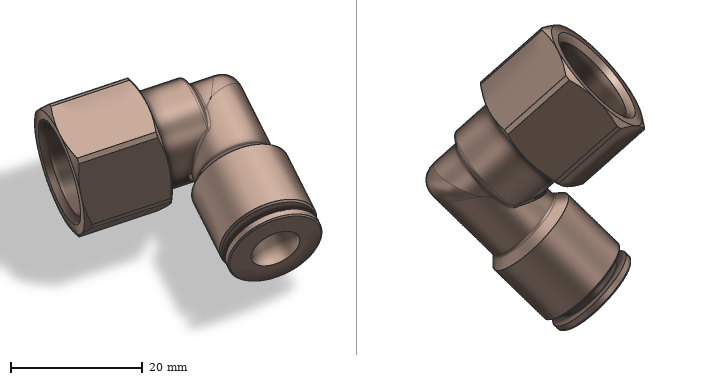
import cadquery as cq
import math


BODY_RADIUS = 6.5
ELBOW_BLEND_SLOPE = 0.5
PASSAGE_RADIUS = 4.0

BLEND_RADIUS = 0.5
INSIDE_CORNER_RADIUS = 0.45

COLLAR_RADIUS = 7.85
COLLAR_TOP_Y = -1.3
COLLAR_CONE_Y = -1.7
COLLAR_SIDE_Y = -2.5
COLLAR_FOOT_HEIGHT = 0.35
COLLAR_FOOT_RADIUS = 7.7

HEX_FLATS = 20
HEX_CORNER_RADIUS = 11.3
HEX_LENGTH = 14.5
HEX_FRONT_Y = -25.0
HEX_BACK_Y = HEX_FRONT_Y + HEX_LENGTH
HEX_CHAMFER_ANGLE = 30

THREAD_RADIUS = 7.5
THREAD_DEPTH = 13.35
MOUTH_CHAMFER = 1.0
DRILL_POINT_ANGLE = 118

SLEEVE_RADIUS = 8.0
SLEEVE_START_X = 9.65
SLEEVE_CONE_X = 10.05
SLEEVE_SIDE_X = 11.6
SLEEVE_END_X = 23.1
SLEEVE_END_CHAMFER = 0.3
RING_NECK_RADIUS = 5.75
RING_RADIUS = 7.75
RING_START_X = 24.53
RING_END_X = 37.05 - HEX_CORNER_RADIUS
RING_CHAMFER = 0.22


def turned_about_x(points):
    """Revolve an (x, radius) profile about the tube axis."""
    return cq.Workplane("XY").polyline(points).close().revolve(360, (0, 0, 0), (1, 0, 0))


def turned_about_y(points):
    """Revolve a (radius, y) profile about the thread axis."""
    return cq.Workplane("XY").polyline(points).close().revolve(360, (0, 0, 0), (0, 1, 0))


def make_elbow():
    """Two equal cylinders along +X and -Y, joined by an ellipsoid tangent to both.

    The ellipsoid meets each cylinder on a plane through the Z axis.
    """
    radius = BODY_RADIUS
    x_end = SLEEVE_SIDE_X
    y_end = HEX_BACK_Y
    reach = x_end - y_end
    slope = ELBOW_BLEND_SLOPE

    def wedge(points):
        return cq.Workplane("XY").polyline([(0, 0)] + points).close().extrude(radius * 2, both=True)

    tube_wedge = wedge([(-slope * reach, reach), (reach, reach), (reach, -reach)])
    thread_wedge = wedge([(reach, -reach), (-reach, -reach), (-reach, slope * reach)])
    corner_wedge = wedge([(-reach, slope * reach), (-reach, reach), (-slope * reach, reach)])

    tube_leg = cq.Workplane("YZ", origin=(-radius, 0, 0)).circle(radius).extrude(x_end + radius)
    thread_leg = cq.Workplane("XZ", origin=(0, radius, 0)).circle(radius).extrude(radius - y_end)

    stretch = cq.Matrix([
        [math.sqrt(1 + slope), 0, 0, 0],
        [0, math.sqrt(1 - slope), 0, 0],
        [0, 0, 1, 0],
    ])
    ellipsoid = cq.Solid.makeSphere(radius, angleDegrees1=-90)
    ellipsoid = ellipsoid.rotate((0, 0, 0), (0, 1, 0), 90).transformGeometry(stretch)
    corner = cq.Workplane(ellipsoid).rotate((0, 0, 0), (0, 0, 1), 135)

    elbow = tube_leg.intersect(tube_wedge).union(thread_leg.intersect(thread_wedge))
    return elbow.union(corner.intersect(corner_wedge))


def make_collar():
    collar = turned_about_y([
        (0, COLLAR_TOP_Y),
        (BODY_RADIUS, COLLAR_TOP_Y),
        (BODY_RADIUS, COLLAR_CONE_Y),
        (COLLAR_RADIUS, COLLAR_SIDE_Y),
        (COLLAR_RADIUS, HEX_BACK_Y + COLLAR_FOOT_HEIGHT),
        (COLLAR_FOOT_RADIUS, HEX_BACK_Y),
        (0, HEX_BACK_Y),
    ])
    cone_ends = cq.selectors.BoxSelector(
        (-HEX_FLATS, COLLAR_SIDE_Y - BLEND_RADIUS, -HEX_FLATS),
        (HEX_FLATS, COLLAR_CONE_Y + BLEND_RADIUS / 4, HEX_FLATS),
    )
    return collar.edges("%CIRCLE").edges(cone_ends).fillet(BLEND_RADIUS)


def make_hexagon():
    """Hexagon with flats facing +Z and -Z, turned corners and conical end chamfers."""
    face_radius = HEX_FLATS / 2
    chamfer_length = (HEX_CORNER_RADIUS - face_radius) * math.tan(math.radians(HEX_CHAMFER_ANGLE))
    prism = (
        cq.Workplane("XZ")
        .workplane(offset=-HEX_BACK_Y)
        .polygon(6, HEX_FLATS, circumscribed=True)
        .extrude(HEX_LENGTH)
        .rotate((0, 0, 0), (0, 1, 0), 30)
    )
    envelope = turned_about_y([
        (0, HEX_FRONT_Y),
        (face_radius, HEX_FRONT_Y),
        (HEX_CORNER_RADIUS, HEX_FRONT_Y + chamfer_length),
        (HEX_CORNER_RADIUS, HEX_BACK_Y - chamfer_length),
        (face_radius, HEX_BACK_Y),
        (0, HEX_BACK_Y),
    ])
    return prism.intersect(envelope)


def make_tube_port():
    port = turned_about_x([
        (SLEEVE_START_X, 0),
        (SLEEVE_START_X, BODY_RADIUS),
        (SLEEVE_CONE_X, BODY_RADIUS),
        (SLEEVE_SIDE_X, SLEEVE_RADIUS),
        (SLEEVE_END_X - SLEEVE_END_CHAMFER, SLEEVE_RADIUS),
        (SLEEVE_END_X, SLEEVE_RADIUS - SLEEVE_END_CHAMFER),
        (SLEEVE_END_X, RING_NECK_RADIUS),
        (RING_START_X, RING_NECK_RADIUS),
        (RING_START_X, RING_RADIUS),
        (RING_END_X - RING_CHAMFER, RING_RADIUS),
        (RING_END_X, RING_RADIUS - RING_CHAMFER),
        (RING_END_X, 0),
    ])
    cone_start = cq.selectors.BoxSelector(
        (SLEEVE_CONE_X - BLEND_RADIUS / 4, -HEX_FLATS, -HEX_FLATS),
        (SLEEVE_CONE_X + BLEND_RADIUS / 4, HEX_FLATS, HEX_FLATS),
    )
    return port.edges("%CIRCLE").edges(cone_start).fillet(BLEND_RADIUS)


def make_threaded_bore():
    """Plain bore with a chamfered mouth and a drill-point floor."""
    floor_y = HEX_FRONT_Y + THREAD_DEPTH
    point_length = THREAD_RADIUS / math.tan(math.radians(DRILL_POINT_ANGLE / 2))
    return turned_about_y([
        (0, HEX_FRONT_Y),
        (THREAD_RADIUS + MOUTH_CHAMFER, HEX_FRONT_Y),
        (THREAD_RADIUS, HEX_FRONT_Y + MOUTH_CHAMFER),
        (THREAD_RADIUS, floor_y),
        (0, floor_y + point_length),
    ])


def make_passage():
    """Round flow passage: along the thread axis, then out through the tube port."""
    thread_leg = cq.Workplane("XZ").circle(PASSAGE_RADIUS).extrude(-HEX_FRONT_Y)
    tube_start = cq.Workplane("YZ", origin=(-PASSAGE_RADIUS, 0, 0))
    tube_leg = tube_start.circle(PASSAGE_RADIUS).extrude(RING_END_X + PASSAGE_RADIUS)
    return thread_leg.union(tube_leg)


body = make_elbow().union(make_collar())
inside_corner = cq.selectors.BoxSelector(
    (-COLLAR_TOP_Y, -BODY_RADIUS, -BODY_RADIUS),
    (COLLAR_RADIUS, COLLAR_TOP_Y, BODY_RADIUS),
)
body = body.edges(inside_corner).fillet(INSIDE_CORNER_RADIUS)

solid = body.union(make_hexagon()).union(make_tube_port())
result = solid.cut(make_threaded_bore()).cut(make_passage())